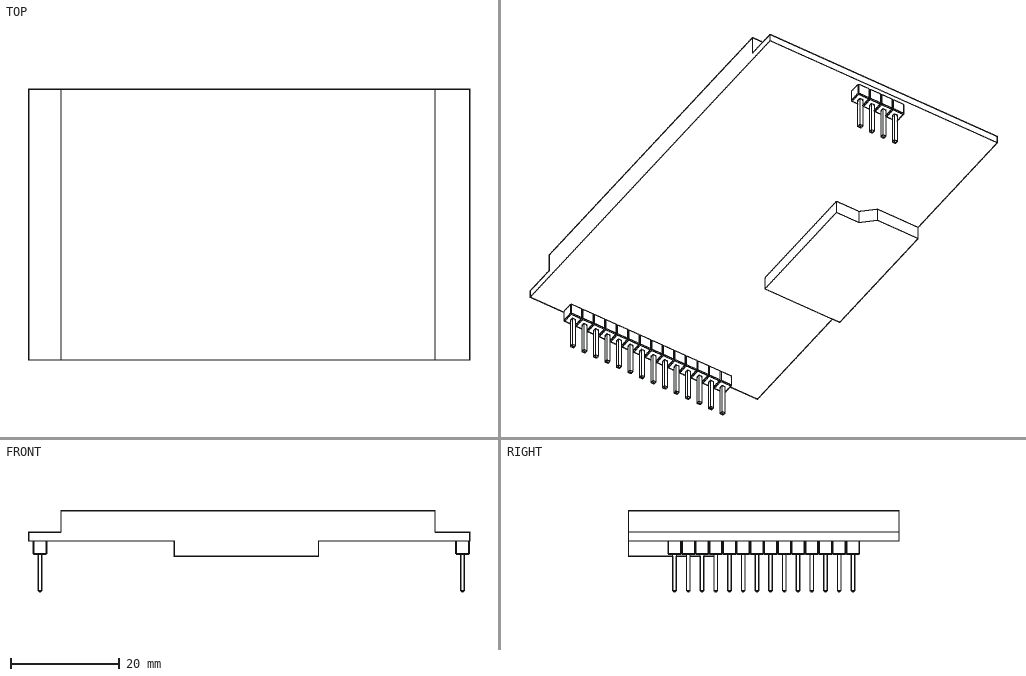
import cadquery as cq

BOARD_LENGTH = 81.7
BOARD_WIDTH = 50.2
BOARD_THICKNESS = 1.6

PANEL_HEIGHT = 4.0
PANEL_LEFT_MARGIN = 6.0
PANEL_RIGHT_MARGIN = 6.45

SOCKET_LEFT = -13.9
SOCKET_RIGHT = 12.8
SOCKET_DEPTH = 16.5
SOCKET_HEIGHT = 2.9
SOCKET_FRONT_LENGTH = 9.0
SOCKET_SLANT_LENGTH = 2.5
SOCKET_INSET = 2.4

TOTAL_HEIGHT = 15.0
LEFT_PIN_COUNT = 4
RIGHT_PIN_COUNT = 14
RIGHT_PIN_SPAN = 33.0
PITCH = RIGHT_PIN_SPAN / (RIGHT_PIN_COUNT - 1)
HOUSING_HEIGHT = 2.45
HOUSING_CHAMFER = 0.2
LEFT_HEADER_MARGIN = 0.8
RIGHT_HEADER_MARGIN = 0.1
LEFT_HEADER_X = -BOARD_LENGTH / 2 + LEFT_HEADER_MARGIN + PITCH / 2
RIGHT_HEADER_X = BOARD_LENGTH / 2 - RIGHT_HEADER_MARGIN - PITCH / 2
PIN_WIDTH = 0.695
PIN_TIP_CHAMFER = 0.25
PIN_LENGTH = TOTAL_HEIGHT - PANEL_HEIGHT - BOARD_THICKNESS


def make_board():
    return cq.Workplane("XY").box(
        BOARD_LENGTH, BOARD_WIDTH, BOARD_THICKNESS, centered=(True, True, False)
    )


def make_panel():
    length = BOARD_LENGTH - PANEL_LEFT_MARGIN - PANEL_RIGHT_MARGIN
    center_x = (PANEL_LEFT_MARGIN - PANEL_RIGHT_MARGIN) / 2
    return (
        cq.Workplane("XY", origin=(center_x, 0, BOARD_THICKNESS))
        .rect(length, BOARD_WIDTH)
        .extrude(PANEL_HEIGHT)
    )


def make_card_socket():
    front = -BOARD_WIDTH / 2
    back = front + SOCKET_DEPTH
    slant_start = front + SOCKET_FRONT_LENGTH
    outline = [
        (SOCKET_LEFT, front),
        (SOCKET_RIGHT, front),
        (SOCKET_RIGHT, back),
        (SOCKET_LEFT + SOCKET_INSET, back),
        (SOCKET_LEFT + SOCKET_INSET, slant_start + SOCKET_SLANT_LENGTH),
        (SOCKET_LEFT, slant_start),
    ]
    return cq.Workplane("XY").polyline(outline).close().extrude(-SOCKET_HEIGHT)


def make_header_cell(x, y):
    """One housing cell, chamfered below and at its corners, with its square pin."""
    housing = (
        cq.Workplane("XY", origin=(x, y, 0))
        .rect(PITCH, PITCH)
        .extrude(-HOUSING_HEIGHT)
        .edges("|Z or <Z")
        .chamfer(HOUSING_CHAMFER)
    )
    pin = (
        cq.Workplane("XY", origin=(x, y, 0))
        .rect(PIN_WIDTH, PIN_WIDTH)
        .extrude(-PIN_LENGTH)
        .faces("<Z")
        .chamfer(PIN_TIP_CHAMFER)
    )
    return housing.union(pin)


def add_header(part, x, pin_count):
    """Add a row of header cells along Y, centred on the board."""
    for index in range(pin_count):
        y = (index - (pin_count - 1) / 2) * PITCH
        part = part.union(make_header_cell(x, y))
    return part


result = make_board().union(make_panel()).union(make_card_socket())
result = add_header(result, LEFT_HEADER_X, LEFT_PIN_COUNT)
result = add_header(result, RIGHT_HEADER_X, RIGHT_PIN_COUNT)